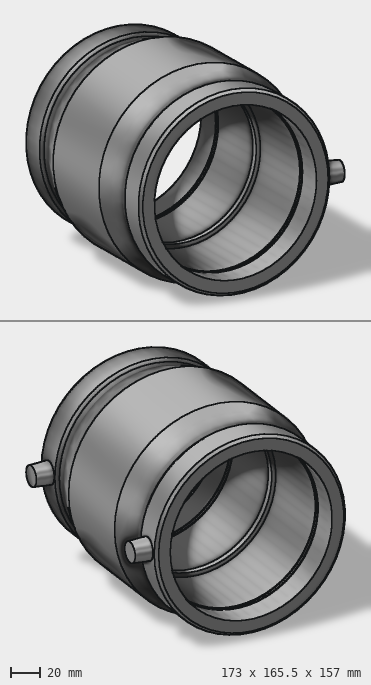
import cadquery as cq

length = 173.0
half_length = length / 2
body_radius = 157.0 / 2
collar_radius = 147.5 / 2
groove_radius = 143.0 / 2
collar_chamfer = collar_radius - groove_radius

collar_end = 22.5
groove_start = 24.9
groove_end = 30.8
body_start = 52.2

stop_radius = 118.7 / 2
bore_radius = 125.0 / 2
stop_width = 5.0
bore_groove_start = 21.8
bore_groove_end = 25.0
bore_groove_radius = bore_radius + 0.5

terminal_tip = 165.5 - body_radius
terminal_tip_radius = 7.8
terminal_base_radius = 8.6
terminal_inset = 12.8
terminal_root = (collar_radius + bore_groove_radius) / 2


def revolve_about_x(points):
    """Revolve a closed (x, radius) outline about the X axis."""
    return cq.Workplane("XY").polyline(points).close().revolve(360, (0, 0, 0), (1, 0, 0))


def make_sleeve():
    """Chamfered collars, grooves and cones around a bore with a central stop ring."""
    outside = [
        (-half_length, groove_radius),
        (-half_length + collar_chamfer, collar_radius),
        (-half_length + collar_end, collar_radius),
        (-half_length + groove_start, groove_radius),
        (-half_length + groove_end, groove_radius),
        (-half_length + body_start, body_radius),
    ]
    inside = [
        (-stop_width / 2, stop_radius),
        (-stop_width / 2, bore_radius),
        (-half_length + bore_groove_end, bore_radius),
        (-half_length + bore_groove_end, bore_groove_radius),
        (-half_length + bore_groove_start, bore_groove_radius),
        (-half_length + bore_groove_start, bore_radius),
        (-half_length, bore_radius),
    ]
    left_half = inside + outside
    right_half = [(-x, radius) for x, radius in reversed(left_half)]
    return revolve_about_x(left_half + right_half)


def make_terminal(x):
    """Slightly tapered post, rooted inside the collar wall."""
    return (
        cq.Workplane("XY")
        .polyline([
            (0, terminal_root),
            (terminal_base_radius, terminal_root),
            (terminal_base_radius, collar_radius),
            (terminal_tip_radius, terminal_tip),
            (0, terminal_tip),
        ])
        .close()
        .revolve(360, (0, 0, 0), (0, 1, 0))
        .translate((x, 0, 0))
    )


result = make_sleeve()
for side in (-1, 1):
    result = result.union(make_terminal(side * (half_length - terminal_inset)))
result = result.clean()